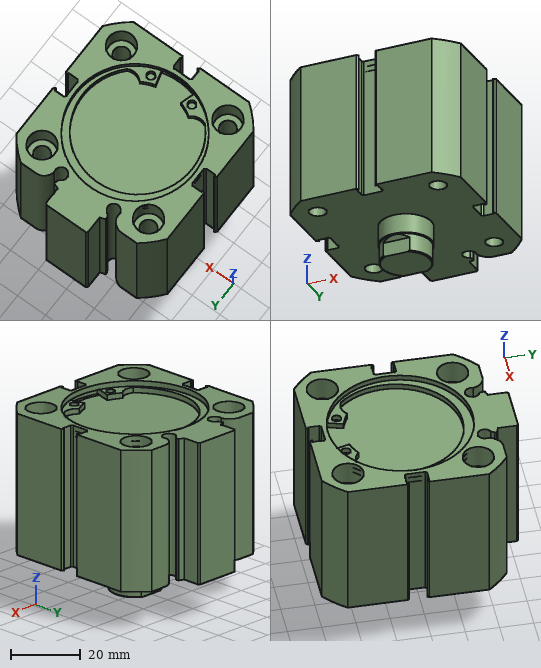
import cadquery as cq
import math


width = 54.0
half_width = width / 2
housing_height = 43.5
corner_radius = 34.0
fin_width = 15.0
fin_reach = 6.0
fin_chamfer = 0.5

bolt_offset = 19.0
bolt_hole_diameter = 5.2
counterbore_diameter = 9.0
counterbore_depth = 7.2

slot_depth = 4.5
slot_half_width = 3.3
slot_corner_chamfer = 0.5
lip_half_opening = 2.65
lip_thickness = 0.8
lip_chamfer = 0.5

hook_radius = 2.05
hook_center = (-9.35, 22.8)
hook_start = (-11.3, 23.5)
hook_end = (-8.7, 24.7)
shoulder_start_x = -14.9
shoulder_middle = (-12.6, 25.9)
tooth_x = -9.2
tooth_low_y = 25.75
tooth_high_y = 26.4

bore_radius = 21.1
ring_depth = 1.7
ring_thickness = 1.7
ring_outer_radius = 22.25
ring_inner_radius = 19.45
ring_inner_offset = -1.25
ring_turn = -0.6
lug_inner_radius = 16.4
lug_end_angle = 16.2
lug_peak_angle = 32.5
lug_hole_radius = 18.7
lug_hole_angle = 23.2
lug_hole_diameter = 2.65
neck_dip = (-11.75, -15.2)
neck_end_x = -14.05
cover_thickness = 6.0

rod_diameter = 16.0
rod_reach = 12.0
collar_length = 6.0
tip_diameter = 15.5
tip_chamfer = 0.3
flat_width = 13.0

cover_top = -(ring_depth + ring_thickness)
cover_bottom = cover_top - cover_thickness


def from_minus_y(radius, degrees):
    """Point at a radius from the axis, turned from the -Y axis toward -X."""
    angle = math.radians(degrees)
    return (-radius * math.sin(angle), -radius * math.cos(angle))


def mirrored(point):
    """The point on the other side of the YZ plane."""
    return (-point[0], point[1])


def disc(radius, top, thickness):
    """Solid disc on the rod axis, reaching down from its top."""
    return cq.Workplane("XY").workplane(offset=top - thickness).circle(radius).extrude(thickness)


def sensor_slot():
    """Cutter for the slot in the -Y side."""
    face = -half_width
    lip = face + lip_thickness
    floor = face + slot_depth
    half = [
        (lip_half_opening + lip_chamfer, face),
        (lip_half_opening, face + lip_chamfer),
        (lip_half_opening, lip),
        (slot_half_width, lip),
        (slot_half_width, floor - slot_corner_chamfer),
        (slot_half_width - slot_corner_chamfer, floor),
    ]
    outline = half + [mirrored(point) for point in reversed(half)]
    return cq.Workplane("XY").polyline(outline).close().extrude(-housing_height)


def hook_groove():
    """Cutter for the hooked groove on the -X side of the fin."""
    hook_bottom = (hook_center[0], hook_center[1] - hook_radius)
    return (
        cq.Workplane("XY")
        .moveTo(shoulder_start_x, half_width)
        .threePointArc(shoulder_middle, hook_start)
        .threePointArc(hook_bottom, hook_end)
        .lineTo(tooth_x, tooth_low_y)
        .lineTo(tooth_x, tooth_high_y)
        .lineTo(-fin_width / 2, half_width)
        .close()
        .extrude(-housing_height)
    )


def make_housing():
    body = cq.Workplane("XY").rect(width, width).extrude(-housing_height)
    body = body.intersect(disc(corner_radius, 0, housing_height))

    fin = (
        cq.Workplane("XY")
        .center(0, half_width)
        .rect(fin_width, 2 * fin_reach)
        .extrude(-housing_height)
        .edges("|Z and >Y")
        .chamfer(fin_chamfer)
    )
    body = body.union(fin)

    groove = hook_groove()
    body = body.cut(groove).cut(groove.mirror("YZ"))

    for turn in (-90, 0, 90):
        body = body.cut(sensor_slot().rotate((0, 0, 0), (0, 0, 1), turn))

    body = (
        body.faces(">Z")
        .workplane(origin=(0, 0, 0))
        .rect(2 * bolt_offset, 2 * bolt_offset, forConstruction=True)
        .vertices()
        .cboreHole(bolt_hole_diameter, counterbore_diameter, counterbore_depth)
    )

    body = body.cut(disc(bore_radius, 0, -cover_bottom))
    body = body.cut(disc(ring_outer_radius, -ring_depth, ring_thickness))
    return body.cut(disc(rod_diameter / 2, 0, housing_height))


def make_retaining_ring():
    end_outer = from_minus_y(ring_outer_radius, lug_end_angle)
    end_inner = from_minus_y(lug_inner_radius, lug_end_angle)
    lug_middle = from_minus_y(lug_inner_radius, (lug_end_angle + lug_peak_angle) / 2)
    lug_peak = from_minus_y(lug_inner_radius, lug_peak_angle)
    neck_end_y = ring_inner_offset - math.sqrt(ring_inner_radius**2 - neck_end_x**2)
    neck_end = (neck_end_x, neck_end_y)
    ring = (
        cq.Workplane("XY")
        .workplane(offset=cover_top)
        .moveTo(*end_outer)
        .lineTo(*end_inner)
        .threePointArc(lug_middle, lug_peak)
        .threePointArc(neck_dip, neck_end)
        .threePointArc((0, ring_inner_radius + ring_inner_offset), mirrored(neck_end))
        .threePointArc(mirrored(neck_dip), mirrored(lug_peak))
        .threePointArc(mirrored(lug_middle), mirrored(end_inner))
        .lineTo(*mirrored(end_outer))
        .threePointArc((0, ring_outer_radius), end_outer)
        .close()
        .extrude(ring_thickness)
    )
    lug_hole = from_minus_y(lug_hole_radius, lug_hole_angle)
    holes = (
        cq.Workplane("XY")
        .workplane(offset=cover_top)
        .pushPoints([lug_hole, mirrored(lug_hole)])
        .circle(lug_hole_diameter / 2)
        .extrude(ring_thickness)
    )
    return ring.cut(holes).rotate((0, 0, 0), (0, 0, 1), ring_turn)


def make_cover():
    return disc(bore_radius, cover_top, cover_thickness)


def make_rod():
    rod_radius = rod_diameter / 2
    tip_radius = tip_diameter / 2
    shoulder = rod_radius - tip_radius
    collar_end = -housing_height - collar_length
    rod_end = -housing_height - rod_reach
    rod = (
        cq.Workplane("XZ")
        .moveTo(0, cover_bottom)
        .lineTo(rod_radius, cover_bottom)
        .lineTo(rod_radius, collar_end)
        .lineTo(tip_radius, collar_end - shoulder)
        .lineTo(tip_radius, rod_end + tip_chamfer)
        .lineTo(tip_radius - tip_chamfer, rod_end)
        .lineTo(0, rod_end)
        .close()
        .revolve(360, (0, 0, 0), (0, 1, 0))
    )

    flat_y = flat_width / 2
    slope_end = collar_end - (rod_radius - flat_y)
    flat = (
        cq.Workplane("YZ")
        .moveTo(rod_radius, collar_end)
        .lineTo(flat_y, slope_end)
        .lineTo(flat_y, rod_end)
        .lineTo(rod_radius, rod_end)
        .close()
        .extrude(rod_radius, both=True)
    )
    return rod.cut(flat).cut(flat.mirror("XZ"))


housing = make_housing()
retaining_ring = make_retaining_ring()
cover = make_cover()
rod = make_rod()

result = cq.Compound.makeCompound([housing.val(), retaining_ring.val(), cover.val(), rod.val()])